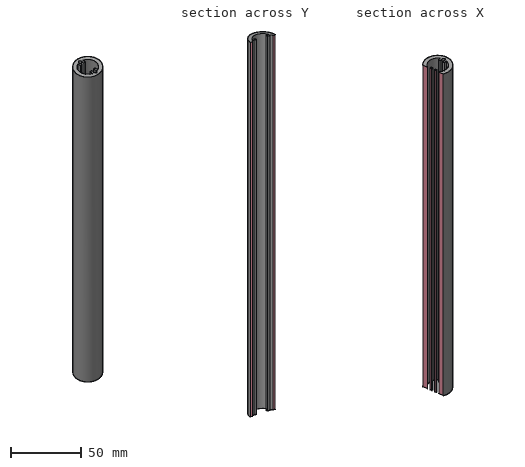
import cadquery as cq

length = 300.0
outer_diameter = 21.5
bore_diameter = 15.3
rib_gap = 9.3
rib_width = 5.5
channel_diameter = 2.5
channel_offset = 7.5
neck_width = 2.0


def cylinder(diameter):
    """Full-length cylinder on the tube axis."""
    return cq.Workplane("XY").circle(diameter / 2).extrude(length)


def bar(size_x, size_y):
    """Full-length rectangular bar on the tube axis."""
    return cq.Workplane("XY").rect(size_x, size_y).extrude(length)


def inner_ribs():
    """Two opposite full-length ribs, flat on the side facing the axis."""
    ribs = bar(outer_diameter, rib_width).cut(bar(rib_gap, rib_width))
    return ribs.intersect(cylinder(outer_diameter))


def rib_channels():
    """A full-length round channel along each rib, joined to the bore by a neck."""
    centers = [(-channel_offset, 0), (channel_offset, 0)]
    channels = cq.Workplane("XY").pushPoints(centers).circle(channel_diameter / 2).extrude(length)
    necks = bar(2 * channel_offset, neck_width)
    return channels.union(necks)


tube = cylinder(outer_diameter).cut(cylinder(bore_diameter))
result = tube.union(inner_ribs()).cut(rib_channels())